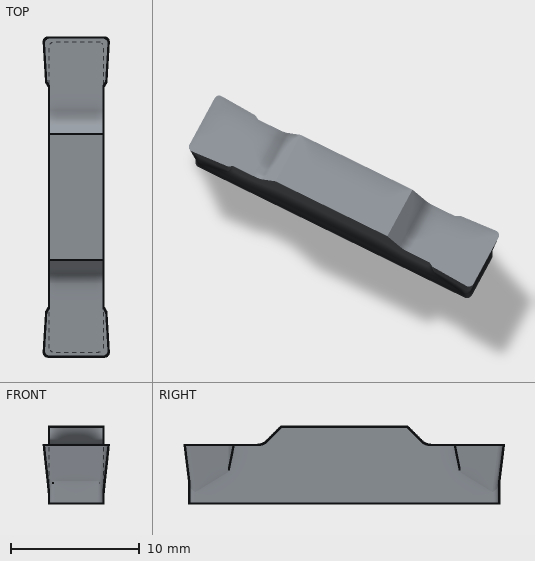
import cadquery as cq
import math

length = 24.8
height = 5.98
seat_height = 4.56

shank_width = 4.27
shank_length = 24.1
shank_corner_radius = 0.45
ridge_length = 9.77
ridge_angle = 45.0
ridge_root_radius = 1.0

edge_width = 5.1
back_taper = 3.5
side_relief = 5.7
tip_relief = 7.0
head_corner_radius = 0.4
shoulder_y = 8.58
shoulder_angle = 30.0
shoulder_round = 0.2
head_depth = 4.22
root_half_width = 1.5


def make_shank():
    """Round-cornered bar with a raised, sloped ridge along its middle."""
    ridge_half = ridge_length / 2
    slope_foot = ridge_half + (height - seat_height) / math.tan(math.radians(ridge_angle))
    half_length = shank_length / 2
    outline = [
        (-half_length, 0),
        (half_length, 0),
        (half_length, seat_height),
        (slope_foot, seat_height),
        (ridge_half, height),
        (-ridge_half, height),
        (-slope_foot, seat_height),
        (-half_length, seat_height),
    ]
    bar = cq.Workplane("YZ").polyline(outline).close().extrude(shank_width / 2, both=True)
    bar = bar.edges("|Z").fillet(shank_corner_radius)
    for side in (-1, 1):
        root = cq.selectors.NearestToPointSelector((0, side * slope_foot, seat_height))
        bar = bar.edges(root).fillet(ridge_root_radius)
    return bar


def head_outline(depth):
    """Corners of the +Y head at a given depth below its top face."""
    taper = math.radians(back_taper)
    shoulder = math.radians(shoulder_angle)
    inset = depth * math.tan(math.radians(side_relief))
    tip_y = length / 2 - depth * math.tan(math.radians(tip_relief))

    def side_x(y):
        return edge_width / 2 - (length / 2 - y) * math.tan(taper) - inset / math.cos(taper)

    def shoulder_line_y(x):
        return shoulder_y + (x - shank_width / 2) / math.tan(shoulder) + inset / math.sin(shoulder)

    start_y = shoulder_line_y(side_x(0))
    back_y = start_y / (1 - math.tan(taper) / math.tan(shoulder))
    right = [
        (root_half_width, shoulder_line_y(root_half_width)),
        (side_x(back_y), back_y),
        (side_x(tip_y), tip_y),
    ]
    return right + [(-x, y) for x, y in reversed(right)]


def make_head():
    """Relieved head at the +Y end, with rounded tip and shoulder corners."""
    head = (
        cq.Workplane("XY", origin=(0, 0, seat_height))
        .polyline(head_outline(0)).close()
        .workplane(offset=-head_depth)
        .polyline(head_outline(head_depth)).close()
        .loft(ruled=True)
    )
    top = head_outline(0)
    bottom = head_outline(head_depth)

    def upright_edge(corner):
        """Selector for the slanted edge below one corner of the top outline."""
        x = (top[corner][0] + bottom[corner][0]) / 2
        y = (top[corner][1] + bottom[corner][1]) / 2
        return cq.selectors.NearestToPointSelector((x, y, seat_height - head_depth / 2))

    tip_corners = upright_edge(2) + upright_edge(3)
    shoulder_corners = upright_edge(1) + upright_edge(4)
    return (
        head.edges(tip_corners).fillet(head_corner_radius)
        .edges(shoulder_corners).fillet(shoulder_round)
    )


back_head = make_head()
front_head = back_head.rotate((0, 0, 0), (0, 0, 1), 180)
result = make_shank().union(back_head).union(front_head)